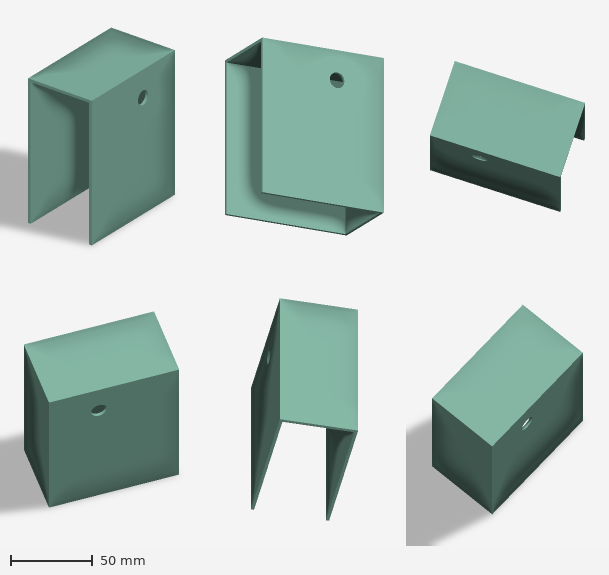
import cadquery as cq

width = 49.0
depth = 84.0
height = 100.0
wall = 2.0

hole_diameter = 10.0
hole_from_back = 32.3
hole_from_top = 19.5


def make_cover():
    """Box with a roof, two side walls and a back wall; front and bottom are open."""
    outer = cq.Workplane("XY").box(width, depth, height, centered=(True, True, False))
    cavity = (
        cq.Workplane("XY")
        .box(width - 2 * wall, depth - wall, height - wall, centered=(True, True, False))
        .translate((0, -wall / 2, 0))
    )
    return outer.cut(cavity)


def make_cross_hole():
    """Cylinder along X, long enough to pass through both side walls."""
    return (
        cq.Workplane("YZ", origin=(-width / 2, 0, 0))
        .center(depth / 2 - hole_from_back, height - hole_from_top)
        .circle(hole_diameter / 2)
        .extrude(width)
    )


result = make_cover().cut(make_cross_hole())